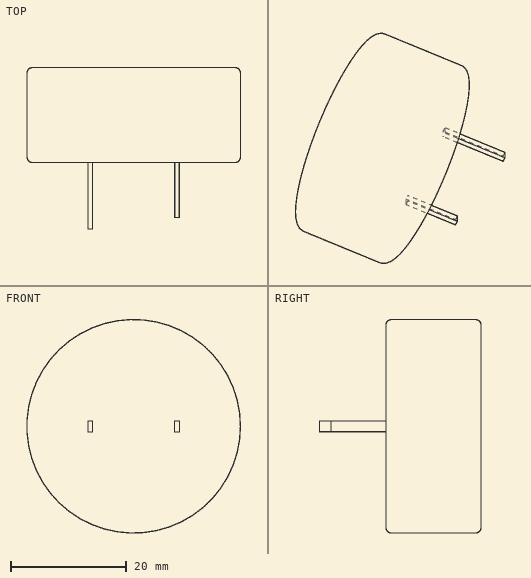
import cadquery as cq

case_diameter = 37.0
case_depth = 16.5
edge_radius = 1.0

pin_spacing = 15.0
pin_width = 0.8
pin_height = 1.9
long_pin_length = 11.5
short_pin_length = 9.5

overall_depth = case_depth + long_pin_length
pin_face_y = long_pin_length - overall_depth / 2


def make_case():
    """Solid disc with both rims rounded."""
    return (
        cq.Workplane("XZ", origin=(0, pin_face_y, 0))
        .circle(case_diameter / 2)
        .extrude(-case_depth)
        .edges()
        .fillet(edge_radius)
    )


def make_pin(x, length):
    """Straight flat pin standing out of the pin face towards -Y."""
    return (
        cq.Workplane("XZ", origin=(x, pin_face_y, 0))
        .rect(pin_width, pin_height)
        .extrude(length)
    )


long_pin = make_pin(-pin_spacing / 2, long_pin_length)
short_pin = make_pin(pin_spacing / 2, short_pin_length)

result = make_case().union(long_pin).union(short_pin)